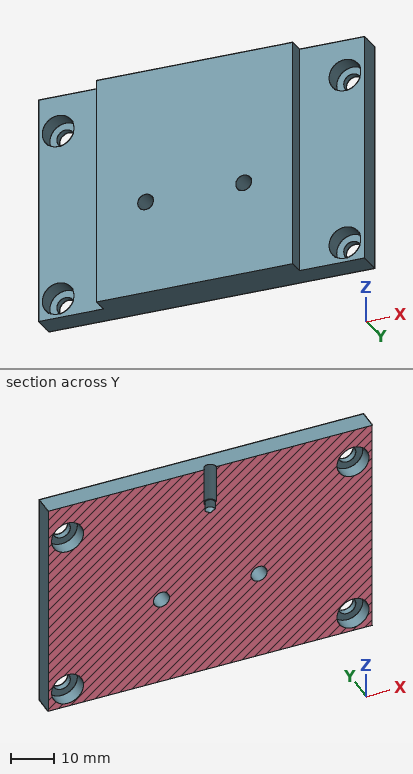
import cadquery as cq
import math

width = 82.85
depth = 10.0
height = 57.4

pad_width = 49.9
pad_rise = 4.0
plate_thickness = depth - pad_rise

mount_pitch_x = 72.9
mount_pitch_z = 43.4
mount_bottom_margin = 5.0
mount_diameter = 4.5
counterbore_diameter = 8.0
counterbore_depth = 4.4

pad_hole_pitch = 24.9
pad_hole_diameter = 4.0
pad_hole_height = 23.45

edge_bore_diameter = 3.0
edge_bore_depth = 9.95
edge_core_diameter = 2.5
edge_core_depth = 12.0
drill_tip_angle = 118.0

back_y = depth / 2
flange_front_y = back_y - plate_thickness
bottom_z = -height / 2
top_z = height / 2


def drill_back(x, z, start_y, diameter, length):
    """Cylinder running from start_y toward +Y."""
    return cq.Workplane(
        cq.Solid.makeCylinder(diameter / 2, length, cq.Vector(x, start_y, z), cq.Vector(0, 1, 0))
    )


def stepped_plate():
    plate = cq.Workplane("XY").box(width, plate_thickness, height)
    plate = plate.translate((0, back_y - plate_thickness / 2, 0))
    pad = cq.Workplane("XY").box(pad_width, depth, height)
    return plate.union(pad)


def edge_hole():
    """Solid of revolution about Z that fills the stepped edge hole."""
    bore_radius = edge_bore_diameter / 2
    core_radius = edge_core_diameter / 2
    tip_length = core_radius / math.tan(math.radians(drill_tip_angle / 2))
    step_z = top_z - edge_bore_depth
    core_end_z = top_z - edge_core_depth
    profile = (
        cq.Workplane("XZ")
        .moveTo(0, top_z)
        .lineTo(bore_radius, top_z)
        .lineTo(bore_radius, step_z)
        .lineTo(core_radius, step_z)
        .lineTo(core_radius, core_end_z)
        .lineTo(0, core_end_z - tip_length)
        .close()
    )
    return profile.revolve(360, (0, 0, 0), (0, 1, 0))


result = stepped_plate()

lower_mount_z = bottom_z + mount_bottom_margin
for x in (-mount_pitch_x / 2, mount_pitch_x / 2):
    for z in (lower_mount_z, lower_mount_z + mount_pitch_z):
        result = result.cut(drill_back(x, z, flange_front_y, mount_diameter, plate_thickness))
        result = result.cut(drill_back(x, z, flange_front_y, counterbore_diameter, counterbore_depth))

for x in (-pad_hole_pitch / 2, pad_hole_pitch / 2):
    result = result.cut(drill_back(x, bottom_z + pad_hole_height, -depth / 2, pad_hole_diameter, depth))

result = result.cut(edge_hole())